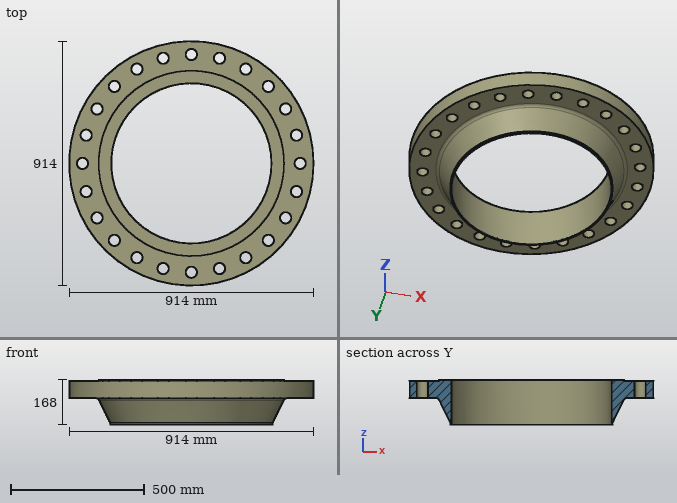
import cadquery as cq

flange_diameter = 914.0
total_height = 168.0
raised_face_height = 4.0
raised_face_diameter = 693.0
flange_thickness = 65.0
bore_diameter = 598.0

hub_end_diameter = 608.0
hub_end_height = 7.0
hub_base_diameter = 699.0
hub_fillet_radius = 15.0

bolt_count = 24
bolt_circle_diameter = 814.0
bolt_hole_diameter = 41.0

flange_top = total_height - raised_face_height
flange_bottom = flange_top - flange_thickness


def revolved_body():
    """Flange, raised face and tapered hub, revolved around the bore."""
    profile = (
        cq.Workplane("XZ")
        .moveTo(bore_diameter / 2, 0)
        .lineTo(hub_end_diameter / 2, 0)
        .lineTo(hub_end_diameter / 2, hub_end_height)
        .lineTo(hub_base_diameter / 2, flange_bottom)
        .lineTo(flange_diameter / 2, flange_bottom)
        .lineTo(flange_diameter / 2, flange_top)
        .lineTo(raised_face_diameter / 2, flange_top)
        .lineTo(raised_face_diameter / 2, total_height)
        .lineTo(bore_diameter / 2, total_height)
        .close()
    )
    return profile.revolve(360, (0, 0), (0, 1))


def fillet_hub_base(body):
    """Round the inside corner where the hub meets the flange underside."""
    margin = 1.0
    half_width = hub_base_diameter / 2 + margin
    corner = cq.selectors.BoxSelector(
        (-half_width, -half_width, flange_bottom - margin),
        (half_width, half_width, flange_bottom + margin),
        boundingbox=True,
    )
    return body.edges(corner).edges("%CIRCLE").fillet(hub_fillet_radius)


def bolt_holes():
    """Through holes for the bolts, the first one on the +X axis."""
    return (
        cq.Workplane("XY")
        .polarArray(bolt_circle_diameter / 2, 0, 360, bolt_count)
        .circle(bolt_hole_diameter / 2)
        .extrude(total_height)
    )


result = fillet_hub_base(revolved_body()).cut(bolt_holes())